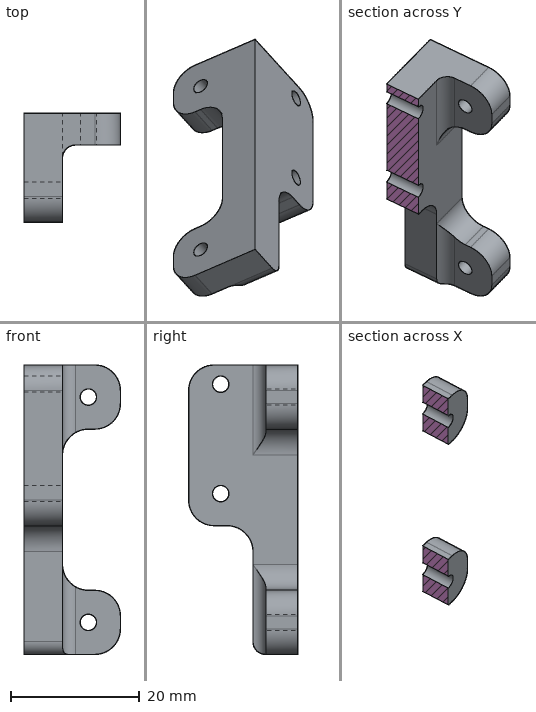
import cadquery as cq

WIDTH = 15.0
DEPTH = 17.0
HEIGHT = 45.0

WALL_THICKNESS = 6.0
FLANGE_THICKNESS = 5.0
INNER_CORNER_RADIUS = 2.0

SPINE_DEPTH = 7.0
PLATE_HEIGHT = 25.0
EAR_HEIGHT = 10.0
OUTLINE_RADIUS = 4.0
FOOT_RADIUS = 2.0

HOLE_DIAMETER = 2.5
EAR_HOLE_SETBACK = 5.0
EAR_HOLE_X = WIDTH - EAR_HOLE_SETBACK
EAR_HOLE_HEIGHTS = (EAR_HEIGHT / 2, HEIGHT - EAR_HEIGHT / 2)
PLATE_HOLE_SETBACK = 5.0
PLATE_HOLE_Y = -(DEPTH - PLATE_HOLE_SETBACK)
TOP_HOLE_DROP = 3.0
PLATE_HOLE_SPACING = 17.0
UPPER_PLATE_HOLE_Z = HEIGHT - TOP_HOLE_DROP
PLATE_HOLE_HEIGHTS = (UPPER_PLATE_HOLE_Z - PLATE_HOLE_SPACING, UPPER_PLATE_HOLE_Z)


def make_angle():
    """L-shaped prism with a filleted inner corner, extruded along Z."""
    return (
        cq.Workplane("XY")
        .moveTo(0, 0)
        .lineTo(WIDTH, 0)
        .lineTo(WIDTH, -FLANGE_THICKNESS)
        .lineTo(WALL_THICKNESS + INNER_CORNER_RADIUS, -FLANGE_THICKNESS)
        .radiusArc(
            (WALL_THICKNESS, -FLANGE_THICKNESS - INNER_CORNER_RADIUS),
            -INNER_CORNER_RADIUS,
        )
        .lineTo(WALL_THICKNESS, -DEPTH)
        .lineTo(0, -DEPTH)
        .close()
        .extrude(HEIGHT)
    )


def make_ear_outline():
    """XZ outline: a full-height wall with one rounded ear at each end."""
    r = OUTLINE_RADIUS
    upper_ear_z = HEIGHT - EAR_HEIGHT
    return (
        cq.Workplane("XZ")
        .moveTo(0, 0)
        .lineTo(WIDTH - r, 0)
        .radiusArc((WIDTH, r), -r)
        .lineTo(WIDTH, EAR_HEIGHT - r)
        .radiusArc((WIDTH - r, EAR_HEIGHT), -r)
        .lineTo(WALL_THICKNESS + r, EAR_HEIGHT)
        .radiusArc((WALL_THICKNESS, EAR_HEIGHT + r), r)
        .lineTo(WALL_THICKNESS, upper_ear_z - r)
        .radiusArc((WALL_THICKNESS + r, upper_ear_z), r)
        .lineTo(WIDTH - r, upper_ear_z)
        .radiusArc((WIDTH, upper_ear_z + r), -r)
        .lineTo(WIDTH, HEIGHT - r)
        .radiusArc((WIDTH - r, HEIGHT), -r)
        .lineTo(0, HEIGHT)
        .close()
        .extrude(DEPTH)
    )


def make_wall_outline():
    """YZ outline: a narrow spine widening into a rounded plate at the top."""
    r = OUTLINE_RADIUS
    plate_z = HEIGHT - PLATE_HEIGHT
    return (
        cq.Workplane("YZ")
        .moveTo(0, 0)
        .lineTo(0, HEIGHT)
        .lineTo(-DEPTH + r, HEIGHT)
        .radiusArc((-DEPTH, HEIGHT - r), -r)
        .lineTo(-DEPTH, plate_z + r)
        .radiusArc((-DEPTH + r, plate_z), -r)
        .lineTo(-SPINE_DEPTH - r, plate_z)
        .radiusArc((-SPINE_DEPTH, plate_z - r), r)
        .lineTo(-SPINE_DEPTH, FOOT_RADIUS)
        .radiusArc((-SPINE_DEPTH + FOOT_RADIUS, 0), -FOOT_RADIUS)
        .close()
        .extrude(WIDTH)
    )


def make_ear_holes():
    """Holes through the ears along Y."""
    centers = [(EAR_HOLE_X, z) for z in EAR_HOLE_HEIGHTS]
    return (
        cq.Workplane("XZ")
        .pushPoints(centers)
        .circle(HOLE_DIAMETER / 2)
        .extrude(DEPTH)
    )


def make_plate_holes():
    """Holes through the wide plate along X."""
    centers = [(PLATE_HOLE_Y, z) for z in PLATE_HOLE_HEIGHTS]
    return (
        cq.Workplane("YZ")
        .pushPoints(centers)
        .circle(HOLE_DIAMETER / 2)
        .extrude(WALL_THICKNESS)
    )


body = make_angle().intersect(make_ear_outline()).intersect(make_wall_outline())
result = body.cut(make_ear_holes()).cut(make_plate_holes())